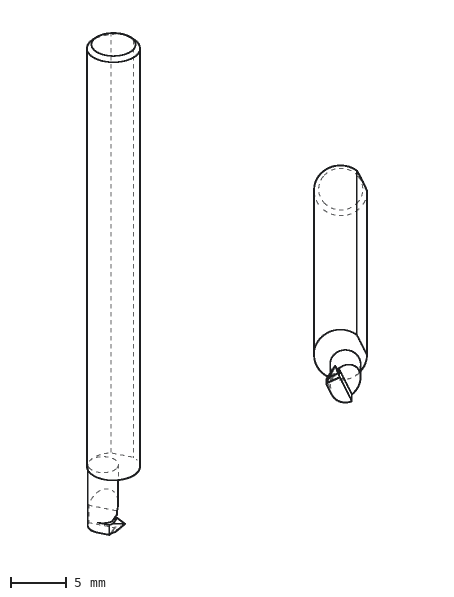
import cadquery as cq

total_length = 50.8
shank_radius = 2.4
flat_y = 2.15
top_chamfer = 0.4
neck_length = 6.4
neck_radius = 1.35
neck_x = neck_radius - shank_radius

relief_inner_z = 1.85
relief_outer_z = 3.05

tooth_height = 1.05
tooth_bottom_z = 0.1
heel_x = 0.125
point_x = 1.1
point_z = 0.6
lower_shoulder_x = 0.5
upper_shoulder_x = 0.35
gullet_top_z = 1.4


def make_shank():
    """Round bar with a chamfered upper end and a clamping flat."""
    bar = (
        cq.Workplane("XY")
        .workplane(offset=neck_length)
        .circle(shank_radius)
        .extrude(total_length - neck_length)
        .faces(">Z")
        .chamfer(top_chamfer)
    )
    beyond_flat = cq.Workplane("XY").box(
        2 * shank_radius, shank_radius, total_length, centered=(True, False, False)
    )
    return bar.cut(beyond_flat.translate((0, flat_y, 0)))


def make_neck():
    """Eccentric round neck with the sloped relief and the bevel above the tooth."""
    neck = cq.Workplane("XY").center(neck_x, 0).circle(neck_radius).extrude(neck_length)
    slope = (relief_outer_z - relief_inner_z) / neck_radius
    relief = (
        cq.Workplane("YZ")
        .moveTo(0, 0)
        .lineTo(shank_radius, 0)
        .lineTo(shank_radius, relief_inner_z + slope * shank_radius)
        .lineTo(0, relief_inner_z)
        .close()
        .extrude(shank_radius, both=True)
    )
    gullet = (
        cq.Workplane("XZ")
        .moveTo(heel_x, 0)
        .lineTo(shank_radius, 0)
        .lineTo(shank_radius, gullet_top_z)
        .lineTo(neck_x + neck_radius, gullet_top_z)
        .lineTo(heel_x, tooth_height)
        .close()
        .extrude(neck_radius, both=True)
    )
    return neck.cut(relief).cut(gullet)


def make_tooth():
    """Tooth with a flat back and a clearance flank running to the pointed edge."""
    plan = (
        cq.Workplane("XY")
        .moveTo(neck_x, 0)
        .lineTo(neck_x, -neck_radius)
        .lineTo(heel_x, -neck_radius)
        .lineTo(point_x, 0)
        .close()
        .extrude(tooth_height)
    )
    profile = (
        cq.Workplane("XZ")
        .moveTo(neck_x, 0)
        .lineTo(heel_x, 0)
        .lineTo(heel_x, tooth_bottom_z)
        .lineTo(lower_shoulder_x, tooth_bottom_z)
        .lineTo(point_x, point_z)
        .lineTo(upper_shoulder_x, tooth_height)
        .lineTo(neck_x, tooth_height)
        .close()
        .extrude(neck_radius)
    )
    return plan.intersect(profile)


result = make_shank().union(make_neck()).union(make_tooth())